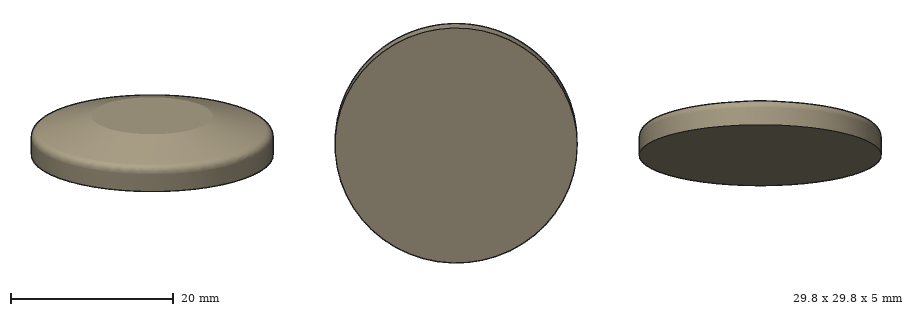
import cadquery as cq

outer_diameter = 29.8
top_diameter = outer_diameter / 2
total_height = 5.0
shoulder_height = 3.0
shoulder_radius = 1.0

outer_radius = outer_diameter / 2
top_radius = top_diameter / 2

rim = cq.Workplane("XY").circle(outer_radius).extrude(shoulder_height)

cone = cq.Workplane(
    cq.Solid.makeCone(
        outer_radius,
        top_radius,
        total_height - shoulder_height,
        pnt=cq.Vector(0, 0, shoulder_height),
    )
)

shoulder = cq.selectors.CenterNthSelector(cq.Vector(0, 0, 1), 1)
result = rim.union(cone).edges("%CIRCLE").edges(shoulder).fillet(shoulder_radius)